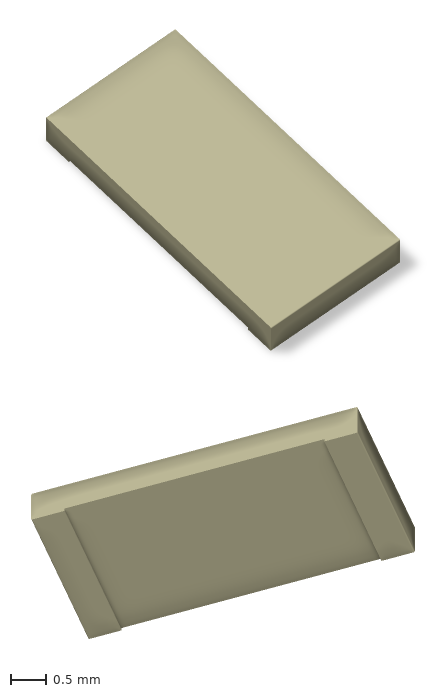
import cadquery as cq

LENGTH = 4.9
WIDTH = 2.4
HEIGHT = 0.55

PLATING = 0.05
TOP_REACH = 0.605
BOTTOM_REACH = 0.5
CORNER_RADIUS = 0.02

CORE_LENGTH = LENGTH - 2 * PLATING
CORE_HEIGHT = HEIGHT - 2 * PLATING
COATING_LENGTH = LENGTH - 2 * TOP_REACH


def make_core():
    """Rectangular ceramic block."""
    return cq.Workplane("XY").box(CORE_LENGTH, WIDTH, CORE_HEIGHT)


def make_coating():
    """Protective layer on top of the core, between the terminals."""
    coating_z = (CORE_HEIGHT + PLATING) / 2
    return cq.Workplane("XY").box(COATING_LENGTH, WIDTH, PLATING).translate((0, 0, coating_z))


def make_terminal(side):
    """C-shaped end cap; side is -1 for the -X end and +1 for the +X end."""
    outer_x = side * LENGTH / 2
    inner_x = side * CORE_LENGTH / 2
    top_tip_x = side * (LENGTH / 2 - TOP_REACH)
    bottom_tip_x = side * (LENGTH / 2 - BOTTOM_REACH)
    outer_z = HEIGHT / 2
    inner_z = CORE_HEIGHT / 2
    profile = [
        (top_tip_x, outer_z),
        (outer_x, outer_z),
        (outer_x, -outer_z),
        (bottom_tip_x, -outer_z),
        (bottom_tip_x, -inner_z),
        (inner_x, -inner_z),
        (inner_x, inner_z),
        (top_tip_x, inner_z),
    ]
    terminal = cq.Workplane("XZ").polyline(profile).close().extrude(WIDTH / 2, both=True)
    end_face = ">X" if side > 0 else "<X"
    return terminal.faces(end_face).edges("|Y").fillet(CORNER_RADIUS)


core = make_core()
coating = make_coating()
terminals = [make_terminal(side) for side in (-1, 1)]

result = cq.Compound.makeCompound(
    [core.val(), coating.val(), *[terminal.val() for terminal in terminals]]
)